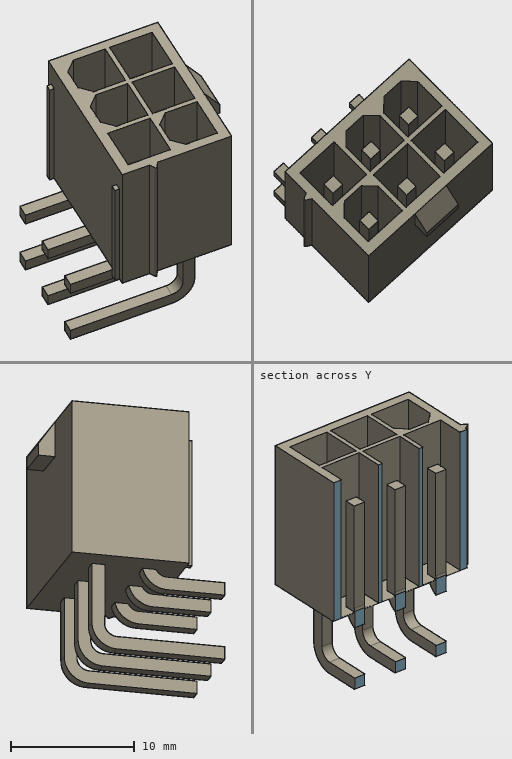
import cadquery as cq
import math

body_width = 13.8
body_depth = 9.8
body_height = 13.0

pitch = 4.2
columns = 3
rows = 2
cavity_size = 3.8
key_chamfer = 0.95
floor_thickness = 0.1
keyed_cavities = [(0, 0), (1, 0), (2, 1)]

pin_size = 1.07
pin_bend_radius = 1.0
pin_tip_recess = 3.0
tail_reach = 3.6
rear_tail_bottom = -7.14
tail_spacing = 5.5
tail_bottoms = [rear_tail_bottom + tail_spacing, rear_tail_bottom]

latch_width = 3.5
latch_reach = 1.4
latch_height = 3.0
latch_land = 1.0

rib_width = 0.53
rib_reach = 0.4
rib_height = 10.75
rib_inset = 0.55

ridge_reach = 0.5
ridge_nose_radius = 0.1
ridge_half_angle = math.radians(30)

front_y = -body_depth / 2
rear_y = body_depth / 2
side_x = body_width / 2


def column_x(column):
    return (column - (columns - 1) / 2) * pitch


def row_y(row):
    return (row - (rows - 1) / 2) * pitch


def make_cavity(column, row):
    """Square well, with its two front corners cut off where it is keyed."""
    depth = body_height - floor_thickness
    cavity = cq.Workplane("XY").box(cavity_size, cavity_size, depth, centered=(True, True, False))
    if (column, row) in keyed_cavities:
        cavity = cavity.faces("<Y").edges("|Z").chamfer(key_chamfer)
    return cavity.translate((column_x(column), row_y(row), floor_thickness))


def make_pin(column, row):
    """Upright contact with a rounded bend into a tail pointing forward."""
    tail_y = front_y - tail_reach
    tip_z = body_height - pin_tip_recess
    bottom_z = tail_bottoms[row]
    top_z = bottom_z + pin_size
    rear_face_y = row_y(row) + pin_size / 2
    front_face_y = rear_face_y - pin_size
    outer_radius = pin_bend_radius + pin_size
    bend_y = front_face_y - pin_bend_radius
    bend_z = top_z + pin_bend_radius
    return (
        cq.Workplane("YZ")
        .moveTo(tail_y, bottom_z)
        .lineTo(bend_y, bottom_z)
        .radiusArc((rear_face_y, bend_z), -outer_radius)
        .lineTo(rear_face_y, tip_z)
        .lineTo(front_face_y, tip_z)
        .lineTo(front_face_y, bend_z)
        .radiusArc((bend_y, top_z), pin_bend_radius)
        .lineTo(tail_y, top_z)
        .close()
        .extrude(pin_size / 2, both=True)
        .translate((column_x(column), 0, 0))
    )


def make_latch():
    """Wedge sloping out from the top rear edge to a short upright land."""
    latch_bottom = body_height - latch_height
    latch_y = rear_y + latch_reach
    return (
        cq.Workplane("YZ")
        .polyline([
            (rear_y, body_height),
            (latch_y, latch_bottom + latch_land),
            (latch_y, latch_bottom),
            (rear_y, latch_bottom),
        ])
        .close()
        .extrude(latch_width / 2, both=True)
    )


def make_rib(side):
    """Upright rib on the front face; side is -1 for left and 1 for right."""
    rib_x = side * (side_x - rib_inset - rib_width / 2)
    return (
        cq.Workplane("XY")
        .box(rib_width, rib_reach, rib_height, centered=(True, True, False))
        .translate((rib_x, front_y - rib_reach / 2, 0))
    )


def make_ridge():
    """Full-height wedge with a rounded nose, in line with the front row."""
    ridge_y = row_y(0)
    nose_x = side_x + ridge_reach
    nose_centre_x = nose_x - ridge_nose_radius
    tangent_x = nose_centre_x + ridge_nose_radius * math.sin(ridge_half_angle)
    tangent_offset = ridge_nose_radius * math.cos(ridge_half_angle)
    base_offset = tangent_offset + (tangent_x - side_x) * math.tan(ridge_half_angle)
    return (
        cq.Workplane("XY")
        .moveTo(side_x, ridge_y - base_offset)
        .lineTo(tangent_x, ridge_y - tangent_offset)
        .threePointArc((nose_x, ridge_y), (tangent_x, ridge_y + tangent_offset))
        .lineTo(side_x, ridge_y + base_offset)
        .close()
        .extrude(body_height)
    )


result = cq.Workplane("XY").box(body_width, body_depth, body_height, centered=(True, True, False))
result = result.union(make_latch()).union(make_ridge())
for side in (-1, 1):
    result = result.union(make_rib(side))

positions = [(column, row) for column in range(columns) for row in range(rows)]
for column, row in positions:
    result = result.cut(make_cavity(column, row))
for column, row in positions:
    result = result.union(make_pin(column, row))